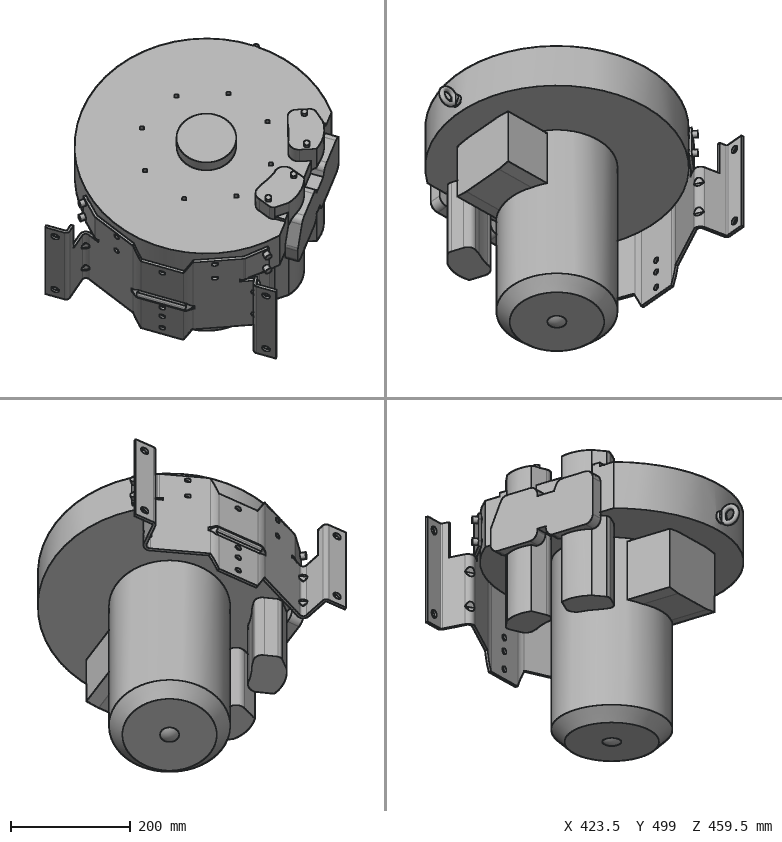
import cadquery as cq
import math


housing_radius = 220.0
housing_height = 85.0
port_face_x = 175.0
hub_radius = 50.0
hub_top = 107.5
cover_hole_count = 8
cover_hole_circle = 113.5
cover_hole_diameter = 7.5
cover_hole_depth = 10.0

motor_radius = 101.5
motor_bottom = -306.5
motor_bevel = 22.5
cap_radius = 16.0
cap_height = 5.5

box_front_y = 79.0
box_back_y = 166.5
box_half_width = 63.5
box_top = -3.0
box_height = 112.5
box_edge_drop = 3.0
box_edge_run = 23.0

silencer_bottom = -147.5
silencer_top = 118.5
silencer_inner_radius = 137.5
inner_arc_top_y = 67.0
inner_arc_low_y = 37.0
low_corner_middle = (140.0, 22.5)
low_flank_start = (156.5, 20.5)
low_flank_end = (183.5, 31.5)
outer_middle = (186.0, 58.5)
outer_end = (175.5, 88.0)
high_corner_start = (156.0, 104.5)
high_corner_middle = (152.0, 105.5)
high_corner_end = (147.0, 105.0)
high_flank_end = (126.5, 97.0)
inner_corner_middle = (117.0, 89.0)
inner_corner_end = (116.0, 79.0)
silencer_screw_radius = 5.0
silencer_screw_height = 6.5
silencer_screws = [(141.0, 93.0), (165.5, 33.5)]
port_outer_x = 197.5
port_size = 97.0
port_gap = 18.0
port_center_z = 22.0
port_corner_radius = 15.0
port_slope_run = 25.0
port_slope_drop = 53.5
port_web_height = 60.0
pad_inner_x = 152.5
pad_width = 30.0
pad_outer_y = 103.5
pad_top = 91.5

eye_outer_radius = 19.0
eye_hole_radius = 9.5
eye_z = 22.0
eye_back_y = 263.0
collar_radius = 10.5
collar_front_y = 224.5
collar_thickness = 6.5
shank_radius = 4.5
shank_embed = 5.0

sheet = 5.0
foot_end_x = 203.5
foot_bottom_y = -236.0
bracket_top = 72.0
bracket_bottom = -120.5
tongue_drop = 33.5
tongue_half_width = 37.5
wing_inner_x = 52.5
wing_angle = math.radians(24)
center_y = -225.0
center_corner_x = 45.0
leg_corner_x = 154.5
foot_corner_x = 165.0
center_bend_radius = 35.0
leg_bend_radius = 9.5
foot_bend_radius = 5.0

tab_corner_x = 130.5
tab_end = (162.0, -153.5)
tab_bend_radius = 5.0
tab_bottom = 11.5
notch_bottom = 7.0
notch_inner_x = 124.5
notch_outer_y = -217.0
tab_overlap = 10.0
tab_bolt_position = 0.87
tab_bolt_radius = 6.0
tab_bolt_head = 12.0
tab_bolt_embed = 15.0
bolt_row_z = [22.0, 62.0]

wing_hole_x = 87.0
wing_hole_diameter = 9.5
tongue_hole_z = [22.0, -78.5, -103.0, -136.0]
tongue_hole_diameter = 10.5
foot_hole_x = 186.0
foot_hole_z = [52.5, -100.5]
foot_hole_diameter = 14.0
rib_z = -58.0
rib_half_length = 56.0
rib_half_height = 11.0
rib_foot_half_height = 6.5
rib_crown_half_height = 3.5
rib_root_depth = 4.5
rib_foot_rise = 2.0
rib_foot_sagitta = 0.75
rib_flank_rise = 4.5
rib_rise = 6.0
rib_tip_half_height = 3.5
rib_envelope_half_height = 18.0
rib_taper = 45
gusset_z = [-25.0, -88.5]
gusset_reach = 17.0
gusset_height = 17.0
gusset_taper = 19
dimple_depth = 7.5
dimple_clearance = 10.0
dimple_taper = 25


def upright_cylinder(x, y, radius, bottom, top):
    return cq.Workplane("XY", origin=(x, y, bottom)).circle(radius).extrude(top - bottom)


def both_sides(shape, plane):
    return shape.union(shape.mirror(plane))


def make_housing():
    disc = upright_cylinder(0, 0, housing_radius, 0, housing_height)
    beyond_port_face = cq.Workplane("XY").box(
        housing_radius, 2 * housing_radius, housing_height, centered=(False, True, False)
    )
    disc = disc.cut(beyond_port_face.translate((port_face_x, 0, 0)))
    holes = (
        cq.Workplane("XY", origin=(0, 0, housing_height - cover_hole_depth))
        .polarArray(cover_hole_circle, 0, 360, cover_hole_count)
        .circle(cover_hole_diameter / 2)
        .extrude(cover_hole_depth)
    )
    return disc.cut(holes).union(upright_cylinder(0, 0, hub_radius, 0, hub_top))


def make_motor():
    bevel_bottom = motor_bottom - motor_bevel
    cap_sphere_radius = (cap_radius**2 + cap_height**2) / (2 * cap_height)
    return (
        cq.Workplane("XZ")
        .lineTo(motor_radius, 0)
        .lineTo(motor_radius, motor_bottom)
        .lineTo(motor_radius - motor_bevel, bevel_bottom)
        .lineTo(cap_radius, bevel_bottom)
        .radiusArc((0, bevel_bottom - cap_height), cap_sphere_radius)
        .close()
        .revolve(360, (0, 0, 0), (0, 1, 0))
    )


def make_terminal_box():
    bottom = box_top - box_height
    ridge_x = box_half_width - box_edge_run
    outline = [
        (ridge_x, box_top),
        (box_half_width, box_top - box_edge_drop),
        (box_half_width, bottom + box_edge_drop),
        (ridge_x, bottom),
    ]
    mirrored = [(-x, z) for x, z in reversed(outline)]
    box = cq.Workplane("XZ").polyline(outline + mirrored).close().extrude(-box_back_y)
    front = cq.Workplane("XY").box(
        2 * motor_radius, box_front_y, 2 * box_height, centered=(True, False, True)
    )
    return box.cut(front.translate((0, 0, bottom)))


def on_silencer_inner_arc(y):
    return (math.sqrt(silencer_inner_radius**2 - y**2), y)


def make_silencer():
    inner_middle_y = (inner_arc_top_y + inner_arc_low_y) / 2
    body = (
        cq.Workplane("XY", origin=(0, 0, silencer_bottom))
        .moveTo(*on_silencer_inner_arc(inner_arc_top_y))
        .threePointArc(
            on_silencer_inner_arc(inner_middle_y), on_silencer_inner_arc(inner_arc_low_y)
        )
        .threePointArc(low_corner_middle, low_flank_start)
        .lineTo(*low_flank_end)
        .threePointArc(outer_middle, outer_end)
        .lineTo(*high_corner_start)
        .threePointArc(high_corner_middle, high_corner_end)
        .lineTo(*high_flank_end)
        .threePointArc(inner_corner_middle, inner_corner_end)
        .close()
        .extrude(silencer_top - silencer_bottom)
    )
    screw_top = silencer_top + silencer_screw_height
    for x, y in silencer_screws:
        body = body.union(upright_cylinder(x, y, silencer_screw_radius, silencer_top, screw_top))
    return body


def make_ports():
    depth = port_outer_x - port_face_x
    port_center_y = (port_size + port_gap) / 2
    half_size = port_size / 2
    flange_outline = [
        (-half_size, -half_size),
        (half_size, -half_size),
        (half_size, half_size),
        (-half_size + port_slope_run, half_size),
        (-half_size, half_size - port_slope_drop),
    ]
    face = cq.Workplane("YZ", origin=(port_face_x, 0, port_center_z))
    flange = face.polyline(flange_outline).close().extrude(depth)
    flange = flange.edges("|X").fillet(port_corner_radius)
    web = face.rect(2 * port_center_y, port_web_height).extrude(depth)
    pad = cq.Workplane("XY").box(
        port_face_x - pad_inner_x, pad_width, pad_top, centered=False
    )
    pad = pad.translate((pad_inner_x, pad_outer_y - pad_width, 0))
    ports = web.union(both_sides(pad, "XZ"))
    for y in (-port_center_y, port_center_y):
        ports = ports.union(flange.translate((0, y, 0)))
    return ports


def make_eye_bolt():
    tube_radius = (eye_outer_radius - eye_hole_radius) / 2
    ring_radius = eye_outer_radius - tube_radius
    eye_y = eye_back_y - eye_outer_radius
    ring = cq.Workplane(
        cq.Solid.makeTorus(
            ring_radius, tube_radius, cq.Vector(0, eye_y, eye_z), cq.Vector(1, 0, 0)
        )
    )
    shank_start = housing_radius - shank_embed
    shank = (
        cq.Workplane("XZ", origin=(0, shank_start, eye_z))
        .circle(shank_radius)
        .extrude(shank_start - collar_front_y)
    )
    collar = (
        cq.Workplane("XZ", origin=(0, collar_front_y, eye_z))
        .circle(collar_radius)
        .extrude(-collar_thickness)
    )
    return ring.union(shank).union(collar)


def wing_y(x):
    """Middle of the sheet along the straight wing."""
    return center_y + (x - center_corner_x) * math.tan(wing_angle)


def bent_sheet(corners, radii, bottom, top):
    """Upright sheet following corner points in XY, each inner corner rounded to its bend radius."""
    points = [cq.Vector(x, y, (bottom + top) / 2) for x, y in corners]
    edges = []
    start = points[0]
    for before, corner, after, radius in zip(points, points[1:], points[2:], radii):
        toward_before = (before - corner).normalized()
        toward_after = (after - corner).normalized()
        half_angle = toward_before.getAngle(toward_after) / 2
        setback = radius / math.tan(half_angle)
        bisector = (toward_before + toward_after).normalized()
        arc_start = corner + toward_before * setback
        arc_middle = corner + bisector * (radius / math.sin(half_angle) - radius)
        arc_end = corner + toward_after * setback
        edges.append(cq.Edge.makeLine(start, arc_start))
        edges.append(cq.Edge.makeThreePointArc(arc_start, arc_middle, arc_end))
        start = arc_end
    edges.append(cq.Edge.makeLine(start, points[-1]))
    path = cq.Workplane(cq.Wire.assembleEdges(edges))
    section = cq.Plane(origin=points[0], xDir=(0, 0, 1), normal=points[1] - points[0])
    return cq.Workplane(section).rect(top - bottom, sheet).sweep(path)


def make_bracket_sheet():
    foot_y = foot_bottom_y + sheet / 2
    half_path = [
        (foot_end_x, foot_y),
        (foot_corner_x, foot_y),
        (leg_corner_x, wing_y(leg_corner_x)),
        (center_corner_x, center_y),
    ]
    half_radii = [foot_bend_radius, leg_bend_radius, center_bend_radius]
    tongue_bottom = bracket_bottom - tongue_drop
    strip = bent_sheet(
        half_path + [(-x, y) for x, y in reversed(half_path)],
        half_radii + half_radii[::-1],
        tongue_bottom,
        bracket_top,
    )
    half_outline = [
        (tongue_half_width, bracket_top - tongue_drop),
        (wing_inner_x, bracket_top),
        (foot_end_x, bracket_top),
        (foot_end_x, bracket_bottom),
        (wing_inner_x, bracket_bottom),
        (tongue_half_width, tongue_bottom),
    ]
    outline = half_outline + [(-x, z) for x, z in reversed(half_outline)]
    blank = cq.Workplane("XZ").polyline(outline).close().extrude(-foot_bottom_y)
    notch = cq.Workplane("XY").box(
        foot_end_x - notch_inner_x, -notch_outer_y, bracket_top - notch_bottom, centered=False
    )
    notch = notch.translate((notch_inner_x, notch_outer_y, notch_bottom))
    return strip.intersect(blank).cut(both_sides(notch, "YZ"))


def make_tab():
    corner = (tab_corner_x, wing_y(tab_corner_x))
    start_x = notch_inner_x - tab_overlap
    return bent_sheet(
        [(start_x, wing_y(start_x)), corner, tab_end],
        [tab_bend_radius],
        tab_bottom,
        bracket_top,
    )


def make_tab_bolts():
    corner = cq.Vector(tab_corner_x, wing_y(tab_corner_x))
    along = cq.Vector(*tab_end) - corner
    center = corner + along * tab_bolt_position
    outward = cq.Vector(along.y, -along.x).normalized()
    bolts = cq.Workplane("XY")
    for z in bolt_row_z:
        start = center - outward * tab_bolt_embed + cq.Vector(0, 0, z)
        bolt = cq.Solid.makeCylinder(
            tab_bolt_radius, tab_bolt_embed + tab_bolt_head, start, outward
        )
        bolts = bolts.union(cq.Workplane(bolt))
    return bolts


def bend_directions():
    """Corner of the leg bend and unit vectors along the wing, along the leg and into the bend."""
    corner = cq.Vector(leg_corner_x, wing_y(leg_corner_x))
    toward_wing = (cq.Vector(center_corner_x, center_y) - corner).normalized()
    toward_foot = (cq.Vector(foot_corner_x, foot_bottom_y) - corner).normalized()
    return corner, toward_wing, toward_foot, (toward_wing + toward_foot).normalized()


def ridges(corners, taper):
    """Triangular plates across the bend, sharpened above and below, at each gusset height."""
    half = (
        cq.Workplane("XY")
        .polyline([(point.x, point.y) for point in corners])
        .close()
        .extrude(gusset_height / 2, taper=taper)
    )
    ridge = both_sides(half, "XY")
    pattern = cq.Workplane("XY")
    for z in gusset_z:
        pattern = pattern.union(ridge.translate((0, 0, z)))
    return pattern


def make_gussets():
    """Raised side of the pressed stiffeners, filling the bend between wing and leg."""
    corner, toward_wing, toward_foot, inward = bend_directions()
    half_angle = toward_wing.getAngle(toward_foot) / 2
    bend_middle = corner + inward * (leg_bend_radius / math.sin(half_angle) - leg_bend_radius)
    on_wing = corner + toward_wing * gusset_reach
    on_leg = corner + toward_foot * gusset_reach
    return ridges([bend_middle, on_wing, on_leg], gusset_taper)


def make_dimples():
    """Sunken side of the pressed stiffeners, cut into the outside of the bend."""
    corner, toward_wing, toward_foot, inward = bend_directions()
    half_angle = toward_wing.getAngle(toward_foot) / 2
    outside = corner - inward * dimple_clearance
    side_length = (dimple_clearance + dimple_depth) / math.cos(half_angle)
    return ridges(
        [outside, outside + toward_wing * side_length, outside + toward_foot * side_length],
        dimple_taper,
    )


def make_rib():
    """Rounded bead across the tongue: concave feet, straight flanks, round crown, beveled ends."""
    surface_y = center_y - sheet / 2
    base_y = surface_y + rib_root_depth
    flank_foot_y = surface_y - rib_foot_rise
    flank_top_y = surface_y - rib_flank_rise
    crown_y = surface_y - rib_rise
    bead = (
        cq.Workplane("YZ", origin=(-rib_half_length, 0, rib_z))
        .moveTo(base_y, -rib_half_height)
        .lineTo(surface_y, -rib_half_height)
        .sagittaArc((flank_foot_y, -rib_foot_half_height), rib_foot_sagitta)
        .lineTo(flank_top_y, -rib_crown_half_height)
        .threePointArc((crown_y, 0), (flank_top_y, rib_crown_half_height))
        .lineTo(flank_foot_y, rib_foot_half_height)
        .sagittaArc((surface_y, rib_half_height), rib_foot_sagitta)
        .lineTo(base_y, rib_half_height)
        .close()
        .extrude(2 * rib_half_length)
    )
    corner_cut = rib_envelope_half_height - rib_tip_half_height
    half_outline = [
        (rib_half_length, rib_tip_half_height),
        (rib_half_length - corner_cut, rib_envelope_half_height),
    ]
    half_outline += [(-x, z) for x, z in reversed(half_outline)]
    outline = half_outline + [(x, -z) for x, z in reversed(half_outline)]
    envelope = (
        cq.Workplane("XZ", origin=(0, base_y, rib_z))
        .polyline(outline)
        .close()
        .extrude(base_y - crown_y, taper=rib_taper)
    )
    return bead.intersect(envelope)


def drill(centers, diameter, back_y):
    """Holes along Y from the foot plane back to the given depth."""
    return (
        cq.Workplane("XZ", origin=(0, back_y, 0))
        .pushPoints(centers)
        .circle(diameter / 2)
        .extrude(back_y - foot_bottom_y)
    )


def make_bracket_holes():
    tongue_centers = [(0, z) for z in tongue_hole_z]
    foot_centers = [(x, z) for x in (-foot_hole_x, foot_hole_x) for z in foot_hole_z]
    wing_centers = [(x, z) for x in (-wing_hole_x, wing_hole_x) for z in bolt_row_z]
    tongue_holes = drill(tongue_centers, tongue_hole_diameter, center_y + sheet)
    foot_holes = drill(foot_centers, foot_hole_diameter, foot_bottom_y + 2 * sheet)
    wing_holes = drill(wing_centers, wing_hole_diameter, wing_y(wing_hole_x + sheet) + sheet)
    return tongue_holes.union(foot_holes).union(wing_holes)


def make_bracket():
    bracket = make_bracket_sheet().union(both_sides(make_tab().union(make_gussets()), "YZ"))
    bracket = bracket.cut(both_sides(make_dimples(), "YZ")).union(make_rib())
    return bracket.cut(make_bracket_holes()).union(both_sides(make_tab_bolts(), "YZ"))


result = (
    make_housing()
    .union(make_motor())
    .union(make_terminal_box())
    .union(both_sides(make_silencer(), "XZ"))
    .union(make_ports())
    .union(make_eye_bolt())
    .union(make_bracket())
)